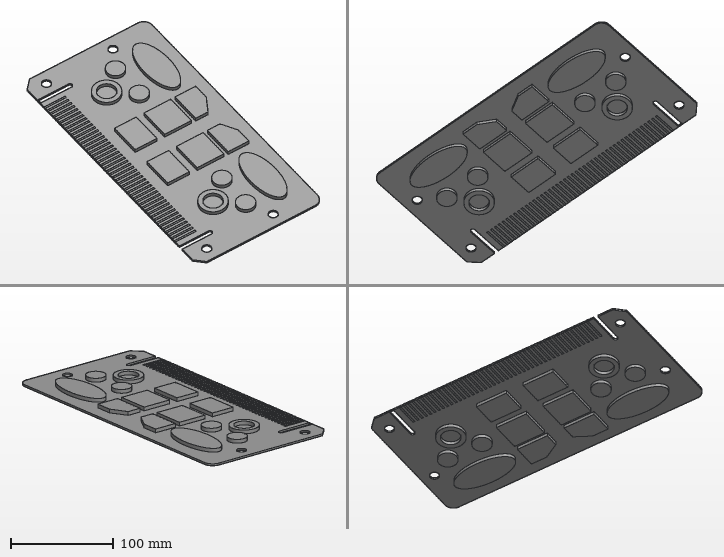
import cadquery as cq

BOARD_LENGTH = 300.0
BOARD_WIDTH = 150.0
BOARD_THICKNESS = 2.0
CORNER_SIZE = 10.0
TOTAL_HEIGHT = 10.0
COMPONENT_HEIGHT = (TOTAL_HEIGHT - BOARD_THICKNESS) / 2
FRONT_EDGE = -BOARD_WIDTH / 2
FACE_Z = BOARD_THICKNESS / 2

HOLE_DIAMETER = 10.0
HOLE_X = 135.5
HOLE_ROWS = (-55.0, 25.0)

SLOT_X = 120.0
SLOT_WIDTH = CORNER_SIZE / 2
LEFT_SLOT_TOP = FRONT_EDGE + 40.0
RIGHT_SLOT_TOP = FRONT_EDGE + 37.5
LEFT_SLOT_BRIDGE = 0.5

CONTACT_COUNT = 45
CONTACT_ROW_SPAN = 220.0
CONTACT_PITCH = CONTACT_ROW_SPAN / (CONTACT_COUNT - 1)
CONTACT_WIDTH = 2.0
CONTACT_LENGTH = 25.0
CONTACT_HEIGHT = 0.15

GROUP_X = 90.0
ELLIPSE_LENGTH = 70.0
ELLIPSE_WIDTH = 30.0
ELLIPSE_Y = 45.0
DISC_DIAMETER = 20.0
DISC_OFFSET = 20.0
DISC_Y = 10.0
RING_OUTER_DIAMETER = 30.0
RING_INNER_DIAMETER = 20.0
RING_Y = -15.0

BLOCK_INNER_X = 10.0
BLOCK_OUTER_X = 45.0
REAR_BLOCK_Y = (35.0, 60.0)
MIDDLE_BLOCK_Y = (-2.0, 30.0)
FRONT_BLOCK_Y = (-37.5, -11.5)
CORNER_CUT_X = 17.0
CORNER_CUT_Y = 10.0


def make_board():
    """Flat plate with rounded rear corners and chamfered front corners."""
    board = cq.Workplane("XY").box(BOARD_LENGTH, BOARD_WIDTH, BOARD_THICKNESS)
    board = board.edges("|Z and >Y").fillet(CORNER_SIZE)
    return board.edges("|Z and <Y").chamfer(CORNER_SIZE)


def make_holes():
    """Cutters for the four mounting holes."""
    points = [(side * HOLE_X, y) for side in (-1, 1) for y in HOLE_ROWS]
    holes = cq.Workplane("XY").pushPoints(points).circle(HOLE_DIAMETER / 2)
    return holes.extrude(BOARD_THICKNESS, both=True)


def make_slot(center_x, bottom_y, top_y):
    """Cutter for a slot with a flat front end and a round rear end."""
    radius = SLOT_WIDTH / 2
    return (
        cq.Workplane("XY")
        .moveTo(center_x - radius, bottom_y)
        .lineTo(center_x + radius, bottom_y)
        .lineTo(center_x + radius, top_y - radius)
        .threePointArc((center_x, top_y), (center_x - radius, top_y - radius))
        .close()
        .extrude(BOARD_THICKNESS, both=True)
    )


def on_upper_face():
    """Workplane on the upper face of the board."""
    return cq.Workplane("XY", origin=(0, 0, FACE_Z))


def make_block(y_range):
    """Rectangular block in the right-hand column."""
    front_y, rear_y = y_range
    return (
        on_upper_face()
        .moveTo(BLOCK_INNER_X, front_y)
        .rect(BLOCK_OUTER_X - BLOCK_INNER_X, rear_y - front_y, centered=False)
        .extrude(COMPONENT_HEIGHT)
    )


def make_cut_block(y_range):
    """Block in the right-hand column with its inner rear corner cut off."""
    front_y, rear_y = y_range
    outline = [
        (BLOCK_INNER_X, front_y),
        (BLOCK_OUTER_X, front_y),
        (BLOCK_OUTER_X, rear_y),
        (BLOCK_INNER_X + CORNER_CUT_X, rear_y),
        (BLOCK_INNER_X, rear_y - CORNER_CUT_Y),
    ]
    return on_upper_face().polyline(outline).close().extrude(COMPONENT_HEIGHT)


def make_round_group():
    """Ellipse, two discs and a ring on the right-hand half."""
    ellipse = (
        on_upper_face()
        .center(GROUP_X, ELLIPSE_Y)
        .ellipse(ELLIPSE_LENGTH / 2, ELLIPSE_WIDTH / 2)
        .extrude(COMPONENT_HEIGHT)
    )
    discs = (
        on_upper_face()
        .pushPoints([(GROUP_X + side * DISC_OFFSET, DISC_Y) for side in (-1, 1)])
        .circle(DISC_DIAMETER / 2)
        .extrude(COMPONENT_HEIGHT)
    )
    ring = (
        on_upper_face()
        .center(GROUP_X, RING_Y)
        .circle(RING_OUTER_DIAMETER / 2)
        .circle(RING_INNER_DIAMETER / 2)
        .extrude(COMPONENT_HEIGHT)
    )
    return [ellipse, discs, ring]


def make_contacts():
    """Row of thin raised strips along the front edge."""
    first_x = -CONTACT_ROW_SPAN / 2
    center_y = FRONT_EDGE + CONTACT_LENGTH / 2
    points = [(first_x + i * CONTACT_PITCH, center_y) for i in range(CONTACT_COUNT)]
    strips = on_upper_face().pushPoints(points).rect(CONTACT_WIDTH, CONTACT_LENGTH)
    return strips.extrude(CONTACT_HEIGHT)


board = make_board()
board = board.cut(make_holes())
board = board.cut(make_slot(-SLOT_X, FRONT_EDGE + LEFT_SLOT_BRIDGE, LEFT_SLOT_TOP))
board = board.cut(make_slot(SLOT_X, FRONT_EDGE, RIGHT_SLOT_TOP))

right_half_parts = make_round_group()
right_half_parts.append(make_cut_block(REAR_BLOCK_Y))
right_half_parts.append(make_block(MIDDLE_BLOCK_Y))
right_half_parts.append(make_block(FRONT_BLOCK_Y))

upper_parts = [make_contacts()]
for component in right_half_parts:
    upper_parts.append(component)
    upper_parts.append(component.mirror("YZ"))

result = board
for component in upper_parts:
    result = result.union(component).union(component.mirror("XY"))